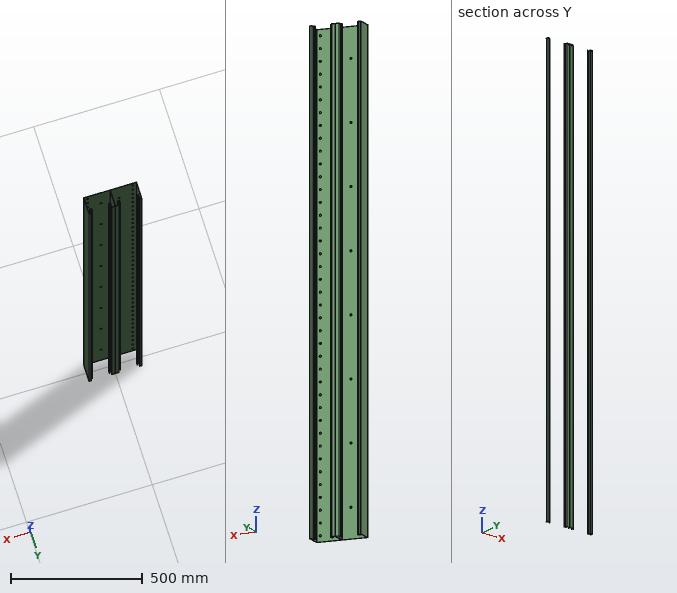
import cadquery as cq

width = 210.0
depth = 68.0
length = 2000.0

sheet = 1.0
web_thickness = 2 * sheet

hook_width = 8.0
hook_depth = 18.0
free_leg_drop = 8.0
side_hook_offset = 8.0
web_hook_offset = 15.0

hole_diameter = 7.0
edge_hole_x = 90.0
edge_hole_pitch = 50.0
inner_hole_x = 35.0
inner_hole_pitch = 250.0

side_x = width / 2
plate_y = -depth / 2
open_y = depth / 2


def bar(x_start, x_end, y_start, y_end):
    """Full-length rectangular bar between two opposite corners of its section."""
    return (
        cq.Workplane("XY")
        .center((x_start + x_end) / 2, (y_start + y_end) / 2)
        .rect(abs(x_end - x_start), abs(y_end - y_start))
        .extrude(length / 2, both=True)
    )


def hooked_flange(root_x, direction, hook_offset):
    """Flange from root_x along +X or -X (direction 1 or -1), ending in a J-shaped hook."""

    def x_at(distance):
        return root_x + direction * distance

    hook_end = hook_offset + hook_width
    hook_bottom = open_y - hook_depth
    flange = bar(root_x, x_at(hook_offset + sheet), open_y - sheet, open_y)
    inner_leg = bar(x_at(hook_offset), x_at(hook_offset + sheet), hook_bottom, open_y)
    foot = bar(x_at(hook_offset), x_at(hook_end), hook_bottom, hook_bottom + sheet)
    free_leg = bar(x_at(hook_end - sheet), x_at(hook_end), hook_bottom, open_y - free_leg_drop)
    return flange.union(inner_leg).union(foot).union(free_leg)


def hole_row(x, pitch):
    """Cutters for a row of holes along Z, ending half a pitch from each end."""
    return (
        cq.Workplane("XZ", origin=(x, plate_y, 0))
        .rarray(pitch, pitch, 1, round(length / pitch))
        .circle(hole_diameter / 2)
        .extrude(2 * sheet, both=True)
    )


result = bar(-side_x, side_x, plate_y, plate_y + sheet)
result = result.union(bar(-web_thickness / 2, web_thickness / 2, plate_y, open_y))

for side in (-1, 1):
    result = result.union(bar(side * side_x, side * (side_x - sheet), plate_y, open_y))
    result = result.union(hooked_flange(side * side_x, -side, side_hook_offset))
    result = result.union(hooked_flange(0, side, web_hook_offset))

for side in (-1, 1):
    result = result.cut(hole_row(side * edge_hole_x, edge_hole_pitch))
    result = result.cut(hole_row(side * inner_hole_x, inner_hole_pitch))